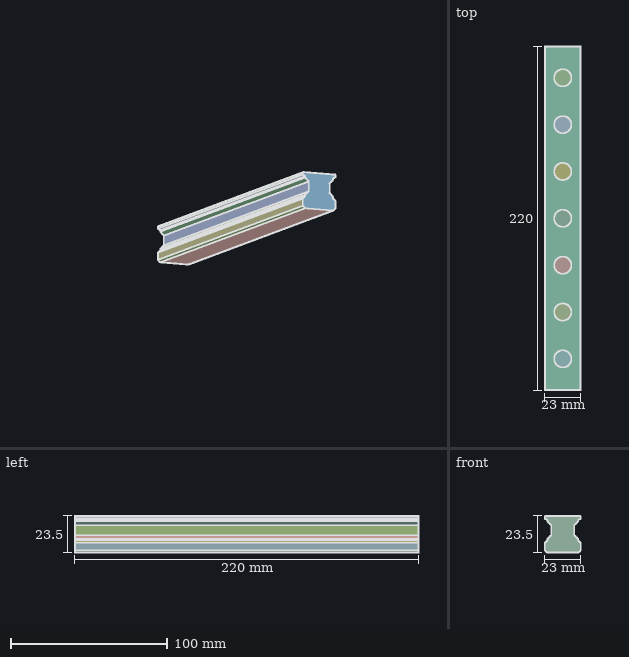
import cadquery as cq

LENGTH = 220.0
WIDTH = 23.0
HEIGHT = 23.5

HALF_WIDTH = WIDTH / 2
SHOULDER_HALF_WIDTH = 10.0
TRACK_DEPTH = 2.5
NECK_HALF_WIDTH = SHOULDER_HALF_WIDTH - TRACK_DEPTH

TOP_CHAMFER = 0.5
BOTTOM_CHAMFER = 1.5
NECK_BOTTOM = 11.2
NECK_HEIGHT = 6.4
STEP_BELOW = 0.9
STEP_ABOVE = 0.9
LIP_SLOPE_RISE = 0.9

CAP_COUNT = 7
CAP_END_DISTANCE = 20.0
CAP_PITCH = (LENGTH - 2 * CAP_END_DISTANCE) / (CAP_COUNT - 1)
CAP_DIAMETER = 11.0
CAP_RECESS = 0.1


def rail_body():
    """Extrude the symmetric profile along Y, centred, with its base at Z = 0."""
    neck_top = NECK_BOTTOM + NECK_HEIGHT
    groove_bottom = NECK_BOTTOM - TRACK_DEPTH
    groove_top = neck_top + TRACK_DEPTH
    step_bottom = groove_bottom - STEP_BELOW
    step_top = groove_top + STEP_ABOVE
    foot_top = step_bottom - (HALF_WIDTH - SHOULDER_HALF_WIDTH)
    lip_bottom = step_top + LIP_SLOPE_RISE
    right_side = [
        (HALF_WIDTH - BOTTOM_CHAMFER, 0),
        (HALF_WIDTH, BOTTOM_CHAMFER),
        (HALF_WIDTH, foot_top),
        (SHOULDER_HALF_WIDTH, step_bottom),
        (SHOULDER_HALF_WIDTH, groove_bottom),
        (NECK_HALF_WIDTH, NECK_BOTTOM),
        (NECK_HALF_WIDTH, neck_top),
        (SHOULDER_HALF_WIDTH, groove_top),
        (SHOULDER_HALF_WIDTH, step_top),
        (HALF_WIDTH, lip_bottom),
        (HALF_WIDTH, HEIGHT - TOP_CHAMFER),
        (HALF_WIDTH - TOP_CHAMFER, HEIGHT),
    ]
    left_side = [(-x, z) for x, z in reversed(right_side)]
    profile = cq.Workplane("XZ").polyline(right_side + left_side).close()
    return profile.extrude(LENGTH / 2, both=True)


def cap_recesses():
    """Row of shallow round recesses, one over each mounting-hole cap."""
    return (
        cq.Workplane("XY")
        .workplane(offset=HEIGHT - CAP_RECESS)
        .rarray(2.2, CAP_PITCH, 1, CAP_COUNT)
        .circle(CAP_DIAMETER / 2)
        .extrude(CAP_RECESS)
    )


result = rail_body().cut(cap_recesses())